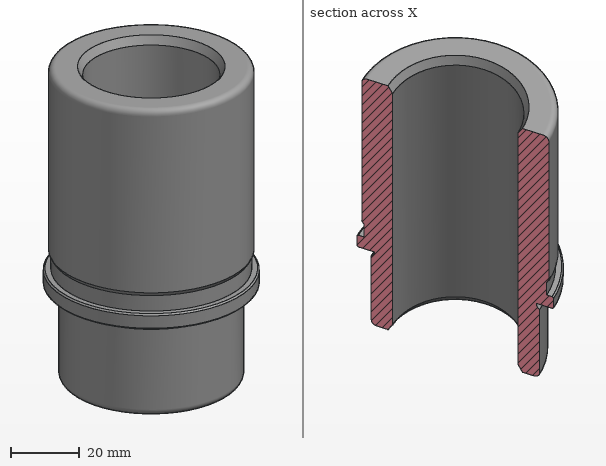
import cadquery as cq
import math

total_height = 100.0
collar_bottom = 30.0
collar_top = 35.0
neck_top = 40.0
undercut_height = 2.0

body_diameter = 60.0
neck_diameter = 58.6
collar_diameter = 63.0
spigot_diameter = 54.0
undercut_diameter = 52.0
bore_diameter = 40.0

lead_in_angle = math.radians(30)
top_round = 2.0
collar_chamfer = 0.5
spigot_round = 2.0
bore_chamfer_width = 1.5


def cylinder(diameter, bottom, top):
    """Solid cylinder on the Z axis between two heights."""
    return cq.Workplane("XY").workplane(offset=bottom).circle(diameter / 2).extrude(top - bottom)


def cone_length(radial_width):
    """Axial length of a lead-in cone with the given radial width."""
    return radial_width / math.tan(lead_in_angle)


def undercut_section():
    """Disc with a concave rim that narrows from the spigot to the collar."""
    bottom = collar_bottom - undercut_height
    outer_radius = spigot_diameter / 2
    inner_radius = undercut_diameter / 2
    depth = outer_radius - inner_radius
    rim_radius = (depth**2 + undercut_height**2) / (2 * depth)
    mid_angle = math.asin(undercut_height / rim_radius) / 2
    mid_point = (
        inner_radius + rim_radius * (1 - math.cos(mid_angle)),
        collar_bottom - rim_radius * math.sin(mid_angle),
    )
    profile = (
        cq.Workplane("XZ")
        .moveTo(0, bottom)
        .lineTo(outer_radius, bottom)
        .threePointArc(mid_point, (inner_radius, collar_bottom))
        .lineTo(0, collar_bottom)
        .close()
    )
    return profile.revolve(360, (0, 0, 0), (0, 1, 0))


def bore_mouth():
    """Cone that opens the bore at the top end."""
    depth = cone_length(bore_chamfer_width)
    bore_radius = bore_diameter / 2
    return cq.Workplane(
        cq.Solid.makeCone(
            bore_radius,
            bore_radius + bore_chamfer_width,
            depth,
            pnt=cq.Vector(0, 0, total_height - depth),
        )
    )


spigot = cylinder(spigot_diameter, 0, collar_bottom - undercut_height)
spigot = spigot.faces("<Z").edges().fillet(spigot_round)

collar = cylinder(collar_diameter, collar_bottom, collar_top).edges().chamfer(collar_chamfer)
neck = cylinder(neck_diameter, collar_top, neck_top)

neck_step = (body_diameter - neck_diameter) / 2
taper = cq.Workplane(
    cq.Solid.makeCone(
        neck_diameter / 2, body_diameter / 2, cone_length(neck_step), pnt=cq.Vector(0, 0, neck_top)
    )
)
body = cylinder(body_diameter, neck_top + cone_length(neck_step), total_height)
body = body.faces(">Z").edges().fillet(top_round)

bushing = spigot.union(undercut_section()).union(collar).union(neck).union(taper).union(body)

bushing = bushing.cut(cylinder(bore_diameter, 0, total_height))
top_mouth = bore_mouth()
bottom_mouth = top_mouth.mirror("XY", (0, 0, total_height / 2))
result = bushing.cut(top_mouth).cut(bottom_mouth)